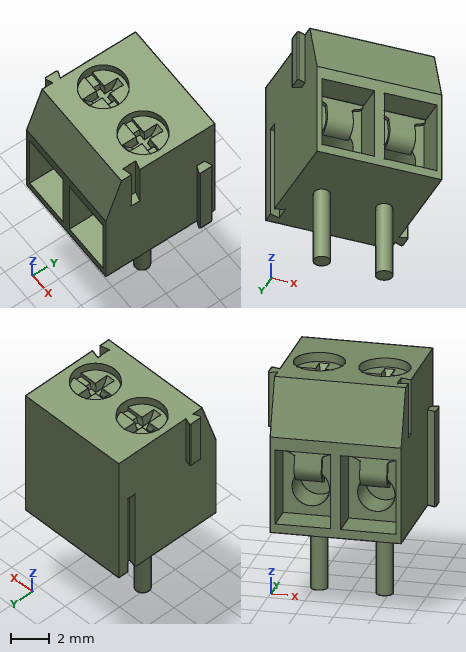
import cadquery as cq
import math


width = 7.0
depth = 7.0
height = 12.5
base_z = 4.2
shoulder_z = 9.5
slope_run = 1.0

pitch = 3.5
pole_centers = [width / 2 - pitch / 2, width / 2 + pitch / 2]
screw_y = 3.65
pin_y = 3.6
pin_diameter = 0.9

window_width = 2.95
window_bottom = 4.7
window_top = 8.8
window_depth = 1.75
wire_hole_diameter = 2.0
wire_hole_z = 6.2
wire_hole_depth = 1.75

guard_width = 2.7
tongue_width = 1.45
shoulder_top_z = 8.45
shoulder_bottom_z = 8.1
shoulder_sag = 0.02
sheet = 0.2
curl_radius = 0.75
curl_z = 7.5
curl_front_y = 1.06
lean = math.radians(11)
bend_end = math.radians(75)
curl_end = math.radians(-90)
bend_start_z = 8.5
bend_radius = 0.4

screw_diameter = 2.7
screw_recess = 0.5
slot_width = 0.5
slot_depth = 0.25
cross_mid_depth = 0.3
cross_depth = 0.52
long_arm_length = 2.2
long_arm_mid_length = 1.78
long_arm_floor_length = 1.25
long_arm_width = 0.52
long_arm_floor_width = 0.26
short_arm_length = 1.28
short_arm_floor_length = 1.02
short_arm_floor_width = 0.38

front_joint_y = 1.91
rear_joint_y = 6.09
rib_length = 0.48
rib_root = 0.5
rib_head = 0.82
rib_bevel = 0.06
groove_depth = 0.56
groove_mouth = 0.52
groove_head = 0.82


def housing():
    profile = [
        (0, base_z),
        (depth, base_z),
        (depth, height),
        (slope_run, height),
        (0, shoulder_z),
    ]
    return cq.Workplane("YZ").polyline(profile).close().extrude(width)


def prism(points, z_low, z_high):
    return cq.Workplane("XY").workplane(offset=z_low).polyline(points).close().extrude(z_high - z_low)


def rib(side_x, outward, y, z_low, z_high):
    """Dovetail rib with bevelled tips, pointing outward (+1 or -1 along X) from a side face."""
    bevel_x = side_x + outward * (rib_length - rib_bevel)
    tip_x = side_x + outward * rib_length
    return prism(
        [
            (side_x, y - rib_root / 2),
            (bevel_x, y - rib_head / 2),
            (tip_x, y - rib_head / 2 + rib_bevel),
            (tip_x, y + rib_head / 2 - rib_bevel),
            (bevel_x, y + rib_head / 2),
            (side_x, y + rib_root / 2),
        ],
        z_low,
        z_high,
    )


def groove(side_x, inward, y, z_low, z_high):
    """Dovetail groove running inward (+1 or -1 along X) from a side face."""
    floor_x = side_x + inward * groove_depth
    return prism(
        [
            (side_x, y - groove_mouth / 2),
            (floor_x, y - groove_head / 2),
            (floor_x, y + groove_head / 2),
            (side_x, y + groove_mouth / 2),
        ],
        z_low,
        z_high,
    )


def pin(x):
    return cq.Workplane("XY").center(x, pin_y).circle(pin_diameter / 2).extrude(base_z)


def wire_entry(x):
    window = cq.Workplane("XY").box(
        window_width, window_depth, window_top - window_bottom, centered=(True, False, False)
    ).translate((x, 0, window_bottom))
    hole = (
        cq.Workplane("XZ", origin=(x, window_depth, wire_hole_z))
        .circle(wire_hole_diameter / 2)
        .extrude(-wire_hole_depth)
    )
    return window.union(hole)


def around(center, radius, angle):
    return (center[0] - radius * math.cos(angle), center[1] + radius * math.sin(angle))


def guard_outline(x):
    """Front outline of a wire guard: wide at the ceiling, S-shaped shoulders, narrow tongue."""
    half_wide = guard_width / 2
    half_narrow = tongue_width / 2
    half_middle = (half_wide + half_narrow) / 2
    middle_z = (shoulder_top_z + shoulder_bottom_z) / 2
    upper_bow = ((half_wide + half_middle) / 2, (shoulder_top_z + middle_z) / 2 - shoulder_sag)
    lower_bow = ((half_middle + half_narrow) / 2, (middle_z + shoulder_bottom_z) / 2 + shoulder_sag)
    return (
        cq.Workplane("XZ", origin=(x, 0, 0))
        .moveTo(0, window_bottom)
        .lineTo(half_narrow, window_bottom)
        .lineTo(half_narrow, shoulder_bottom_z)
        .threePointArc(lower_bow, (half_middle, middle_z))
        .threePointArc(upper_bow, (half_wide, shoulder_top_z))
        .lineTo(half_wide, height)
        .lineTo(0, height)
        .mirrorY()
        .extrude(-depth)
    )


def wire_guard(x):
    curl_center = (curl_front_y + curl_radius, curl_z - curl_radius * math.sin(lean))
    curl_mid = (lean + curl_end) / 2
    bend_mid = (lean + bend_end) / 2
    flat_foot = around(curl_center, curl_radius, lean)
    flat_top = (flat_foot[0] + (bend_start_z - curl_z) * math.tan(lean), bend_start_z)
    bend_center = (
        flat_top[0] + bend_radius * math.cos(lean),
        flat_top[1] - bend_radius * math.sin(lean),
    )
    inner_curl = curl_radius - sheet
    inner_bend = bend_radius - sheet
    profile = (
        cq.Workplane("YZ", origin=(x - guard_width / 2, 0, 0))
        .moveTo(*around(curl_center, curl_radius, curl_end))
        .threePointArc(around(curl_center, curl_radius, curl_mid), flat_foot)
        .lineTo(*flat_top)
        .threePointArc(around(bend_center, bend_radius, bend_mid), around(bend_center, bend_radius, bend_end))
        .lineTo(*around(bend_center, inner_bend, bend_end))
        .threePointArc(around(bend_center, inner_bend, bend_mid), around(bend_center, inner_bend, lean))
        .lineTo(*around(curl_center, inner_curl, lean))
        .threePointArc(around(curl_center, inner_curl, curl_mid), around(curl_center, inner_curl, curl_end))
        .close()
        .extrude(guard_width)
    )
    return profile.intersect(guard_outline(x))


def taper(x, top_z, top_size, low_z, low_size):
    return (
        cq.Workplane("XY", origin=(x, screw_y, top_z))
        .rect(*top_size)
        .workplane(offset=low_z - top_z)
        .rect(*low_size)
        .loft(ruled=True)
    )


def screw_recess_cut(x):
    face_z = height - screw_recess
    slot_z = face_z - slot_depth
    mid_z = face_z - cross_mid_depth
    floor_z = face_z - cross_depth
    pocket = (
        cq.Workplane("XY", origin=(x, screw_y, face_z)).circle(screw_diameter / 2).extrude(screw_recess)
    )
    slot_box = cq.Workplane("XY", origin=(x, screw_y, slot_z)).rect(screw_diameter, slot_width)
    head = cq.Workplane("XY", origin=(x, screw_y, slot_z)).circle(screw_diameter / 2).extrude(slot_depth)
    slot = slot_box.extrude(slot_depth).intersect(head)
    width_loss = (long_arm_width - long_arm_floor_width) * cross_mid_depth / cross_depth
    top_size = (long_arm_width, long_arm_length)
    mid_size = (long_arm_width - width_loss, long_arm_mid_length)
    floor_size = (long_arm_floor_width, long_arm_floor_length)
    long_arm_top = taper(x, face_z, top_size, mid_z, mid_size)
    long_arm_low = taper(x, mid_z, mid_size, floor_z, floor_size)
    short_arm = taper(
        x,
        slot_z,
        (short_arm_length, slot_width),
        floor_z,
        (short_arm_floor_length, short_arm_floor_width),
    )
    return pocket.union(slot).union(long_arm_top).union(long_arm_low).union(short_arm)


result = housing()
result = result.union(rib(0, -1, front_joint_y, shoulder_z, height))
result = result.union(rib(width, 1, rear_joint_y, base_z, shoulder_z))
result = result.cut(groove(width, -1, front_joint_y, shoulder_z, height))
result = result.cut(groove(0, 1, rear_joint_y, base_z, shoulder_z))
for x in pole_centers:
    result = result.cut(wire_entry(x))
    result = result.cut(screw_recess_cut(x))
    result = result.union(wire_guard(x))
    result = result.union(pin(x))